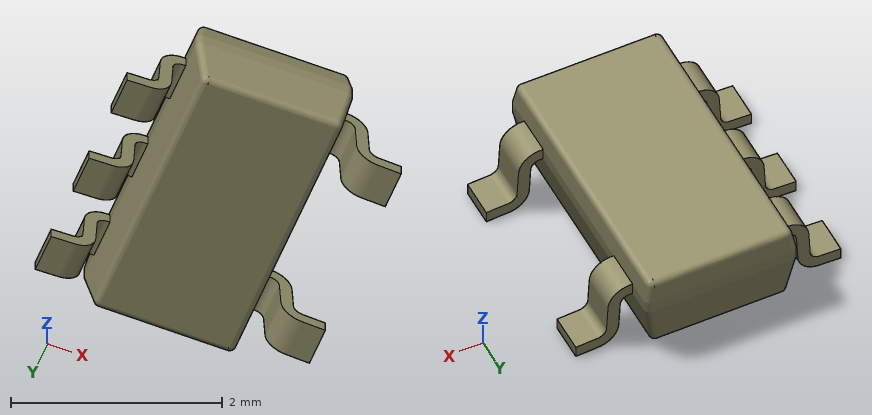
import cadquery as cq
import math

body_bottom_z = 0.1
body_top_z = 0.97

body_width = 1.6
body_length = 2.9
body_fillet = 0.06
draft_x = math.radians(10)
draft_y = math.radians(7)

lead_thickness = 0.13
lead_width = 0.4
lead_pitch = 0.95
lead_span = 2.8
lead_top_z = 0.73
lead_shoulder = 0.032
inner_bend_radius = 0.1
outer_bend_radius = inner_bend_radius + lead_thickness
lead_lean = math.radians(3)

lead_under_z = lead_top_z - lead_thickness


def body_section(z):
    """Rounded rectangle that the body fills at height z."""
    above_band = max(z - lead_top_z, 0)
    below_band = max(lead_under_z - z, 0)
    inset = above_band + below_band
    width = body_width - 2 * inset * math.tan(draft_x)
    length = body_length - 2 * inset * math.tan(draft_y)
    outline = cq.Sketch().rect(width, length).vertices().fillet(body_fillet)
    return outline.moved(cq.Location(cq.Vector(0, 0, z)))


def make_body():
    """Moulded body: drafted lower part, vertical band, drafted upper part, rounded rims."""
    levels = (body_bottom_z, lead_under_z, lead_top_z, body_top_z)
    sections = [body_section(z) for z in levels]
    block = cq.Workplane("XY").placeSketch(*sections).loft(ruled=True)
    return block.faces("<Z or >Z").edges().fillet(body_fillet)


def leg_x(leg_top_x, z):
    """X of a leg face at height z, for a face that starts at leg_top_x at the lead top."""
    return leg_top_x + (lead_top_z - z) * math.tan(lead_lean)


def heel_corner(leg_top_x, tip_z):
    """Sharp corner where a leg face meets the foot face that ends at height tip_z."""
    slope = math.tan(lead_lean)
    drop = lead_top_z - tip_z
    reach = lead_span / 2 - leg_top_x
    z = tip_z + slope * (reach - drop * slope) / (1 - slope**2)
    return leg_x(leg_top_x, z), z


def make_lead():
    """Lead on the +X side, centred on Y = 0, butting against the body band."""
    body_face_x = body_width / 2
    tip_x = lead_span / 2
    upper_turn = math.pi / 2 - lead_lean
    slanted_thickness = lead_thickness / math.cos(lead_lean)
    outer_x = body_face_x + lead_shoulder + outer_bend_radius * math.tan(upper_turn / 2)
    inner_x = outer_x - slanted_thickness

    shoulder_outer = (outer_x, lead_top_z)
    shoulder_inner = (leg_x(inner_x, lead_under_z), lead_under_z)
    heel_upper = heel_corner(outer_x, slanted_thickness)
    heel_lower = heel_corner(inner_x, 0)

    blank = (
        cq.Workplane("XZ")
        .polyline([
            (body_face_x, lead_top_z),
            shoulder_outer,
            heel_upper,
            (tip_x, slanted_thickness),
            (tip_x, 0),
            heel_lower,
            shoulder_inner,
            (body_face_x, lead_under_z),
        ])
        .close()
        .extrude(lead_width / 2, both=True)
    )

    def round_bend(solid, corner, radius):
        x, z = corner
        return solid.edges(cq.selectors.NearestToPointSelector((x, 0, z))).fillet(radius)

    lead = round_bend(blank, shoulder_outer, outer_bend_radius)
    lead = round_bend(lead, shoulder_inner, inner_bend_radius)
    lead = round_bend(lead, heel_upper, inner_bend_radius)
    return round_bend(lead, heel_lower, outer_bend_radius)


body = make_body()

right_lead = make_lead()
left_lead = right_lead.rotate((0, 0, 0), (0, 0, 1), 180)
leads = []
for row in (-1, 0, 1):
    leads.append(left_lead.translate((0, row * lead_pitch, 0)).val())
for row in (-1, 1):
    leads.append(right_lead.translate((0, row * lead_pitch, 0)).val())

result = cq.Compound.makeCompound([body.val(), *leads])